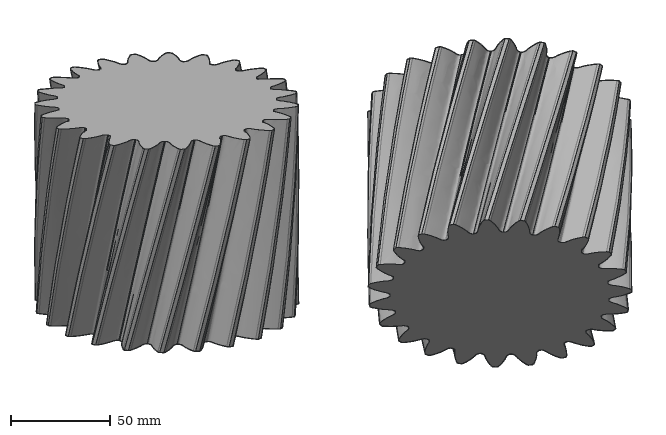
import cadquery as cq
import math

outer_diameter = 133.0
face_width = 110.0
tooth_count = 23
helix_angle = math.radians(13)
normal_pressure_angle = math.radians(20)
profile_shift = 0.5
addendum_factor = 1.0
dedendum_factor = 1.25

involute_start_radius = 57.3
involute_end_radius = 65.6
involute_intervals = 6
tip_land_width = 2.1
root_land_width = 0.5

outer_radius = outer_diameter / 2
normal_module = outer_radius / (tooth_count / (2 * math.cos(helix_angle)) + addendum_factor + profile_shift)
pitch_radius = normal_module * tooth_count / (2 * math.cos(helix_angle))
root_radius = pitch_radius - normal_module * (dedendum_factor - profile_shift)
pressure_angle = math.atan(math.tan(normal_pressure_angle) / math.cos(helix_angle))
base_radius = pitch_radius * math.cos(pressure_angle)
tooth_pitch_angle = 2 * math.pi / tooth_count

pitch_half_angle = (math.pi / 2 + 2 * profile_shift * math.tan(normal_pressure_angle)) / tooth_count

twist_angle = face_width * math.tan(helix_angle) / pitch_radius
first_tooth_angle = -tooth_pitch_angle / 4 - twist_angle / 2


def involute(angle):
    return math.tan(angle) - angle


def tooth_half_angle(radius):
    """Angle from the tooth centre line to its involute flank at a radius."""
    local_pressure_angle = math.acos(base_radius / radius)
    return pitch_half_angle + involute(pressure_angle) - involute(local_pressure_angle)


def polar_vector(radius, angle):
    return cq.Vector(radius * math.cos(angle), radius * math.sin(angle))


tip_land_half_angle = tip_land_width / outer_radius / 2
root_land_half_angle = root_land_width / root_radius / 2
root_half_angle = tooth_pitch_angle / 2 - root_land_half_angle

flank_end_angle = math.acos(base_radius / involute_end_radius) - tooth_half_angle(involute_end_radius)


def tooth_side(tooth_angle, side):
    """Flank and tip round on one side of a tooth; side +1 is counterclockwise of its centre line."""
    step = (involute_end_radius - involute_start_radius) / involute_intervals
    points = [polar_vector(root_radius, tooth_angle + side * root_half_angle)]
    for i in range(involute_intervals + 1):
        radius = involute_start_radius + i * step
        points.append(polar_vector(radius, tooth_angle + side * tooth_half_angle(radius)))
    root_direction = polar_vector(1, tooth_angle + side * (root_half_angle - math.pi / 2))
    tip_direction = polar_vector(1, tooth_angle - side * flank_end_angle)
    land_edge = polar_vector(outer_radius, tooth_angle + side * tip_land_half_angle)

    flank = cq.Edge.makeSpline(points, tangents=[root_direction, tip_direction])
    tip_round = cq.Edge.makeTangentArc(points[-1], tip_direction, land_edge)
    return [flank, tip_round]


def land(radius, middle_angle, half_angle):
    """Arc around the gear axis."""
    angles = (middle_angle - half_angle, middle_angle, middle_angle + half_angle)
    return cq.Edge.makeThreePointArc(*[polar_vector(radius, angle) for angle in angles])


def gear_outline():
    """Closed outline of all the teeth, running counterclockwise."""
    edges = []
    for tooth in range(tooth_count):
        tooth_angle = first_tooth_angle + tooth * tooth_pitch_angle
        gap_angle = tooth_angle + tooth_pitch_angle / 2
        edges += tooth_side(tooth_angle, -1)
        edges.append(land(outer_radius, tooth_angle, tip_land_half_angle))
        edges += reversed(tooth_side(tooth_angle, 1))
        edges.append(land(root_radius, gap_angle, root_land_half_angle))
    return cq.Wire.assembleEdges(edges)


gear_section = cq.Workplane("XY").add(gear_outline()).toPending()
result = gear_section.twistExtrude(face_width, math.degrees(twist_angle))